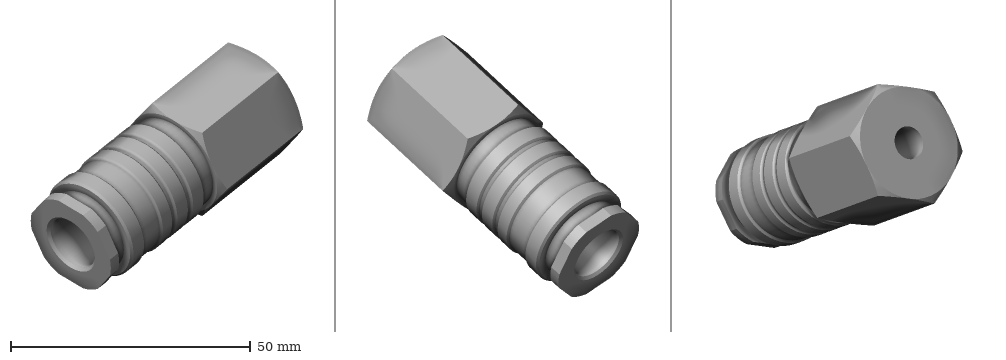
import cadquery as cq
import math

length = 59.5

hex_flats = 24.0
hex_start = 33.0
hex_chamfer_angle = 30.0

ring_radius = 11.7
ring_chamfer = 0.5
sleeve_radius = ring_radius - ring_chamfer
ring_spans = [(6.0, 10.35), (15.45, 19.35), (20.1, 24.4), (25.15, 29.45)]
sleeve_start = ring_spans[0][0]
sleeve_end = ring_spans[-1][1]
rear_neck_radius = 10.8

neck_radius = 9.45
collar_radius = 11.05
collar_flats = 21.05
collar_length = 2.6

through_radius = 3.5
socket_radius = 6.05
socket_depth = 17.85
mouth_chamfer = 0.6


def cylinder(radius, start, end):
    return cq.Workplane("XZ", origin=(0, start, 0)).circle(radius).extrude(start - end)


def hexagon(across_flats, start, end):
    """Hexagonal bar with corners on the X axis."""
    across_corners = across_flats / math.cos(math.radians(30))
    return cq.Workplane("XZ", origin=(0, start, 0)).polygon(6, across_corners).extrude(start - end)


def ring(start, end):
    return cylinder(ring_radius, start, end).edges().chamfer(ring_chamfer)


def hex_end():
    """Hexagonal bar whose corners are turned down to a cone at both ends."""
    face_radius = hex_flats / 2
    corner_radius = face_radius / math.cos(math.radians(30))
    chamfer_depth = (corner_radius - face_radius) * math.tan(math.radians(hex_chamfer_angle))
    envelope = (
        cq.Workplane("XY")
        .moveTo(0, hex_start)
        .lineTo(face_radius, hex_start)
        .lineTo(corner_radius, hex_start + chamfer_depth)
        .lineTo(corner_radius, length - chamfer_depth)
        .lineTo(face_radius, length)
        .lineTo(0, length)
        .close()
        .revolve(360, (0, 0, 0), (0, 1, 0))
    )
    return hexagon(hex_flats, hex_start, length).intersect(envelope)


def collar():
    """Disc with six flats."""
    return cylinder(collar_radius, 0, collar_length).intersect(hexagon(collar_flats, 0, collar_length))


def bore():
    """Through hole with a wider socket and a chamfered mouth."""
    profile = (
        cq.Workplane("XY")
        .moveTo(0, 0)
        .lineTo(socket_radius + mouth_chamfer, 0)
        .lineTo(socket_radius, mouth_chamfer)
        .lineTo(socket_radius, socket_depth)
        .lineTo(through_radius, socket_depth)
        .lineTo(through_radius, length)
        .lineTo(0, length)
        .close()
    )
    return profile.revolve(360, (0, 0, 0), (0, 1, 0))


body = hex_end()
body = body.union(cylinder(rear_neck_radius, sleeve_end, hex_start))
body = body.union(cylinder(sleeve_radius, sleeve_start, sleeve_end))
for ring_start, ring_end in ring_spans:
    body = body.union(ring(ring_start, ring_end))
body = body.union(cylinder(neck_radius, collar_length, sleeve_start))
body = body.union(collar())

result = body.cut(bore())